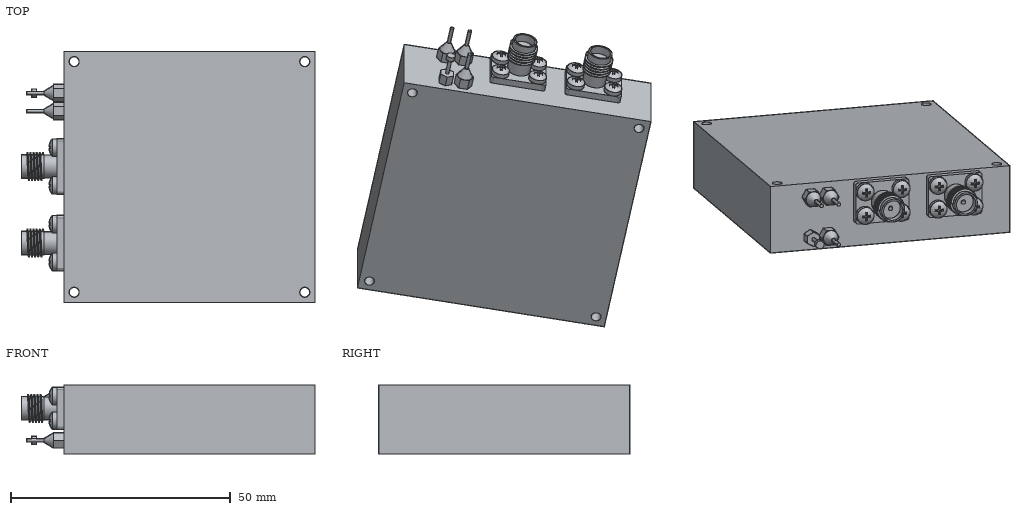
import cadquery as cq
import math

side = 57.15
height = 15.75
panel_x = -side / 2
top_z = height / 2
edge_y = side / 2

mount_hole_diameter = 2.2
mount_hole_inset = 2.35

connector_z = top_z - 5.35
connector_spacing = 17.42
first_connector_y = edge_y - 26.2
connector_ys = (first_connector_y, first_connector_y - connector_spacing)

flange_width = 12.7
flange_height = 9.7
flange_thickness = 1.6
flange_corner_radius = 0.6

connector_length = 9.65
barrel_diameter = 5.4
neck_diameter = 5.25
bore_diameter = 4.6
bore_depth = 1.9
contact_hole_diameter = 1.0
contact_hole_depth = 2.0
drill_tip_half_angle = math.radians(59)
contact_tip_depth = contact_hole_diameter / 2 / math.tan(drill_tip_half_angle)
thread_diameter = 6.35
thread_rear = 4.55
thread_front = 8.5
thread_turns = 5
root_share_of_pitch = 0.6
crest_share_of_pitch = 0.25
thread_pitch = (thread_front - thread_rear) / (thread_turns + root_share_of_pitch)
thread_root_width = root_share_of_pitch * thread_pitch
thread_crest_width = crest_share_of_pitch * thread_pitch
thread_embed = 0.1

screw_spacing_y = 8.6
screw_spacing_z = 5.6
screw_diameter = 4.0
screw_rim_height = 1.0
screw_dome_height = 0.8
recess_length = 1.9
recess_width = 0.45
recess_depth = 0.8

terminal_spacing_y = 4.1
outer_terminal_y = edge_y - 9.5
inner_terminal_y = outer_terminal_y - terminal_spacing_y
upper_terminal_z = top_z - 3.15
lower_terminal_z = top_z - 12.65
pin_length = 8.45
pin_diameter = 0.8
terminal_hex_flats = 3.5
terminal_hex_length = 2.4
cone_end = 4.5
cone_base_diameter = 3.45
cone_tip_diameter = 0.95
post_hex_flats = 2.95
post_hex_turn = 30
collar_diameter = 1.95
collar_start = 6.2
collar_end = 7.3


def panel_plane(y, z, stand_off=0.0):
    """Plane facing -X: local x runs along +Y and local y along -Z."""
    return cq.Plane(origin=(panel_x - stand_off, y, z), xDir=(0, 1, 0), normal=(-1, 0, 0))


def place_on_panel(shape, y, z, stand_off=0.0):
    """Turn a shape built along +Z so that it stands out from the panel."""
    return cq.Workplane(shape.val().moved(panel_plane(y, z, stand_off).location))


def rod(y, z, diameter, start, end):
    """Cylinder between two distances from the panel."""
    plane = panel_plane(y, z, start)
    return cq.Workplane(plane).circle(diameter / 2).extrude(end - start)


def hex_base(y, z, flats, length, turn=0):
    """Hexagonal prism on the panel; with no turn its corners point along Y."""
    plane = panel_plane(y, z)
    corners = flats / math.cos(math.pi / 6)
    prism = cq.Workplane(plane).polygon(6, corners).extrude(length)
    return prism.rotate((0, y, z), (1, y, z), turn)


def make_housing():
    """Square block with a through hole near each corner."""
    hole_pitch = side - 2 * mount_hole_inset
    block = cq.Workplane("XY").box(side, side, height)
    hole_centres = (
        block.faces(">Z").workplane().rect(hole_pitch, hole_pitch, forConstruction=True).vertices()
    )
    return hole_centres.hole(mount_hole_diameter)


def make_screw(y, z):
    """Pan head with a spherical dome and a cross recess."""
    radius = screw_diameter / 2
    crown = screw_rim_height + screw_dome_height
    sphere_radius = (radius**2 + screw_dome_height**2) / (2 * screw_dome_height)
    mid_radius = radius / 2
    sphere_centre = crown - sphere_radius
    mid_height = sphere_centre + math.sqrt(sphere_radius**2 - mid_radius**2)
    head = (
        cq.Workplane("XZ")
        .lineTo(radius, 0)
        .lineTo(radius, screw_rim_height)
        .threePointArc((mid_radius, mid_height), (0, crown))
        .close()
        .revolve(360, (0, 0), (0, 1))
    )
    for length, width in ((recess_length, recess_width), (recess_width, recess_length)):
        slot = cq.Workplane("XY").workplane(offset=crown - recess_depth).rect(length, width)
        head = head.cut(slot.extrude(recess_depth))
    return place_on_panel(head, y, z, flange_thickness)


def make_thread(y):
    """Helical ridge of trapezoidal section wrapped around the barrel."""
    root_radius = barrel_diameter / 2 - thread_embed
    crest_radius = thread_diameter / 2
    helix = cq.Wire.makeHelix(thread_pitch, thread_turns * thread_pitch, root_radius)
    ridge = (
        cq.Workplane("XZ")
        .moveTo(root_radius, -thread_root_width / 2)
        .lineTo(crest_radius, -thread_crest_width / 2)
        .lineTo(crest_radius, thread_crest_width / 2)
        .lineTo(root_radius, thread_root_width / 2)
        .close()
        .sweep(cq.Workplane(obj=helix), isFrenet=True)
    )
    first_turn = thread_rear + thread_root_width / 2
    return place_on_panel(ridge, y, connector_z, first_turn)


def make_connector(y):
    """Flange with threaded barrel, open bore, contact hole and four screws."""
    flange = (
        cq.Workplane(panel_plane(y, connector_z))
        .rect(flange_width, flange_height)
        .extrude(flange_thickness)
        .edges("|X")
        .fillet(flange_corner_radius)
    )
    neck = rod(y, connector_z, neck_diameter, 0, thread_rear)
    barrel = rod(y, connector_z, barrel_diameter, thread_rear, connector_length)
    connector = flange.union(neck).union(barrel).union(make_thread(y))

    bore_floor = connector_length - bore_depth
    connector = connector.cut(rod(y, connector_z, bore_diameter, bore_floor, connector_length))
    contact_hole = (
        cq.Workplane("XZ")
        .moveTo(0, bore_floor)
        .lineTo(contact_hole_diameter / 2, bore_floor)
        .lineTo(contact_hole_diameter / 2, bore_floor - contact_hole_depth)
        .lineTo(0, bore_floor - contact_hole_depth - contact_tip_depth)
        .close()
        .revolve(360, (0, 0), (0, 1))
    )
    connector = connector.cut(place_on_panel(contact_hole, y, connector_z))

    for side_y in (-1, 1):
        for side_z in (-1, 1):
            screw_y = y + side_y * screw_spacing_y / 2
            screw_z = connector_z + side_z * screw_spacing_z / 2
            connector = connector.union(make_screw(screw_y, screw_z))
    return connector


def make_terminal(y, z):
    """Hexagonal base, tapered insulator and straight pin."""
    cone = (
        cq.Workplane(panel_plane(y, z, terminal_hex_length))
        .circle(cone_base_diameter / 2)
        .workplane(offset=cone_end - terminal_hex_length)
        .circle(cone_tip_diameter / 2)
        .loft()
    )
    base = hex_base(y, z, terminal_hex_flats, terminal_hex_length)
    return base.union(cone).union(rod(y, z, pin_diameter, 0, pin_length))


def make_ground_post(y, z):
    """Smaller hexagonal base, turned point-up, with a headed pin."""
    base = hex_base(y, z, post_hex_flats, terminal_hex_length, post_hex_turn)
    pin = rod(y, z, pin_diameter, 0, collar_end)
    head = rod(y, z, collar_diameter, collar_start, collar_end)
    return base.union(pin).union(head)


result = make_housing()
for connector_y in connector_ys:
    result = result.union(make_connector(connector_y))
terminal_places = (
    (outer_terminal_y, upper_terminal_z),
    (inner_terminal_y, upper_terminal_z),
    (inner_terminal_y, lower_terminal_z),
)
for terminal_y, terminal_z in terminal_places:
    result = result.union(make_terminal(terminal_y, terminal_z))
result = result.union(make_ground_post(outer_terminal_y, lower_terminal_z))